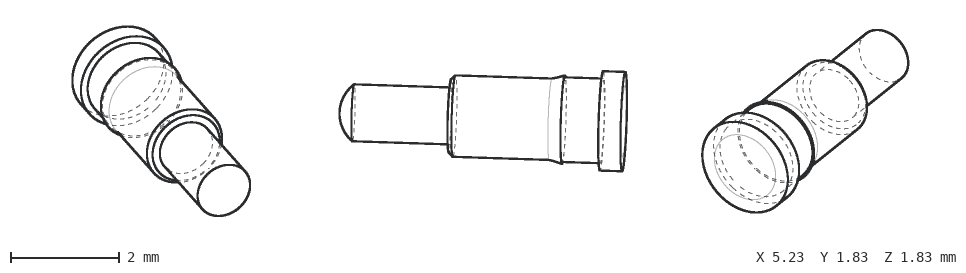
import cadquery as cq
import math


end_disc_diameter = 1.31
flange_diameter = 1.83
neck_diameter = 1.56
barb_diameter = 1.63
barrel_diameter = 1.50
plunger_diameter = 1.05

flange_end = 0.41
neck_end = 1.11
barb_end = 1.345
barrel_end = 3.20
dome_start = 4.975
tip_end = 5.23

barrel_chamfer = 0.08

flange_radius = flange_diameter / 2
neck_radius = neck_diameter / 2
barrel_radius = barrel_diameter / 2
plunger_radius = plunger_diameter / 2


def dome_midpoint():
    """Point halfway along the circular arc from the plunger rim to the tip."""
    dome_height = tip_end - dome_start
    dome_radius = (plunger_radius**2 + dome_height**2) / (2 * dome_height)
    dome_center = tip_end - dome_radius
    half_angle = math.asin(plunger_radius / dome_radius) / 2
    return (
        dome_center + dome_radius * math.cos(half_angle),
        dome_radius * math.sin(half_angle),
    )


def half_profile():
    """Upper half of the pin's lengthwise section, closed along the axis."""
    return (
        cq.Workplane("XY")
        .moveTo(0, 0)
        .lineTo(0, end_disc_diameter / 2)
        .lineTo(0, flange_radius)
        .lineTo(flange_end, flange_radius)
        .lineTo(flange_end, neck_radius)
        .lineTo(neck_end, neck_radius)
        .lineTo(neck_end, barb_diameter / 2)
        .lineTo(barb_end, barrel_radius)
        .lineTo(barrel_end - barrel_chamfer, barrel_radius)
        .lineTo(barrel_end, barrel_radius - barrel_chamfer)
        .lineTo(barrel_end, plunger_radius)
        .lineTo(dome_start, plunger_radius)
        .threePointArc(dome_midpoint(), (tip_end, 0))
        .close()
    )


result = half_profile().revolve(360, (0, 0, 0), (1, 0, 0), clean=False)